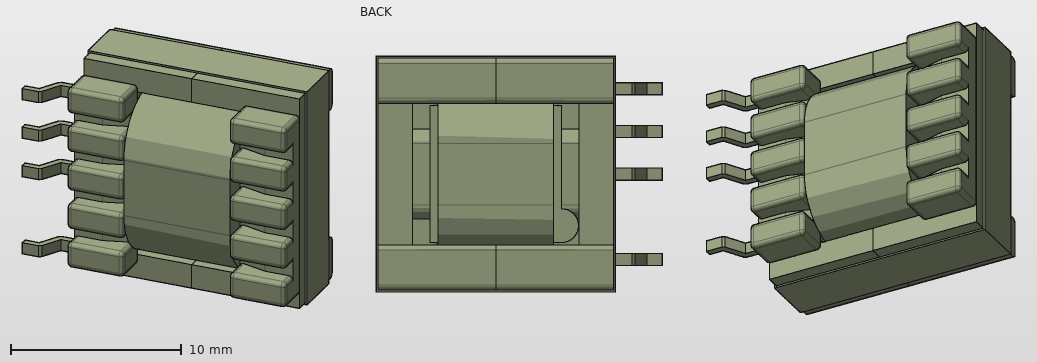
import cadquery as cq
import math


OVERALL_LENGTH = 16.75

TAPE_LENGTH = 14.0
TAPE_HEIGHT = 13.8
TAPE_THICKNESS = 0.12
TAPE_FRONT = 0.84
TAPE_BACK = 4.02
CORE_LENGTH = TAPE_LENGTH - 2 * TAPE_THICKNESS
CORE_HEIGHT = TAPE_HEIGHT - 2 * TAPE_THICKNESS
CORE_BACK = 4.77
CORE_FILLET = 0.3
WINDOW_LENGTH = 9.72
WINDOW_GAP = 0.17
YOKE_RECESS_HEIGHT = 8.27

WINDING_LENGTH = 6.77
WINDING_RADIUS = 3.3
WINDING_FLAT = 3.58
WINDING_FRONT = -2.16
WINDING_AXIS_Y = WINDING_FRONT + WINDING_RADIUS
WINDING_BACK = WINDING_AXIS_Y + WINDING_RADIUS
WINDOW_RADIUS = WINDING_RADIUS + WINDOW_GAP
WINDOW_HEIGHT = WINDING_FLAT + 2 * WINDOW_RADIUS

LEG_RADIUS = 0.84
TUBE_RADIUS = 1.09

BLOCK_INNER = WINDING_LENGTH / 2
BLOCK_OUTER = 6.98
BLOCK_WIDTH = BLOCK_OUTER - BLOCK_INNER
BLOCK_FRONT = -2.28
BLOCK_FILLET = 0.27
TOOTH_COUNT = 5
TOOTH_PITCH = 2.5
TOOTH_HEIGHT = 1.6
BLOCK_HEIGHT = (TOOTH_COUNT - 1) * TOOTH_PITCH + TOOTH_HEIGHT
SLOT_FLOOR = -1.15
SLOT_SLOPE_ANGLE = 16.0
SLOT_SLOPE_START = BLOCK_INNER + BLOCK_WIDTH / 2
SLOT_SLOPE_DROP = BLOCK_WIDTH / 2 * math.tan(math.radians(SLOT_SLOPE_ANGLE))

FLANGE_HEIGHT = 8.0
FLANGE_OUTER = 3.85
PILLAR_RADIUS = 0.99

PIN_TIP = TAPE_LENGTH / 2 - OVERALL_LENGTH
PIN_THICKNESS = 0.42
PIN_HEIGHT = 0.72
PIN_ROOT_BACK = -0.74
PIN_FOOT_FRONT = -2.46
PIN_FOOT_LENGTH = 0.9
PIN_SLANT_ANGLE = 60.0
PIN_BEND_CHAMFER = 0.12
PIN_TEETH = (0, 1, 2, 4)


def box(x_range, y_range, z_range):
    """Box between pairs of limits."""
    lows, highs = zip(x_range, y_range, z_range)
    size = [high - low for low, high in zip(lows, highs)]
    return cq.Workplane("XY").box(*size, centered=False).translate(lows)


def centred_box(length, y_range, height):
    """Box centred on X = 0 and Z = 0."""
    return box((-length / 2, length / 2), y_range, (-height / 2, height / 2))


def rounded_bar(radius, start, end):
    """Bar along X with round ends at top and bottom, centred on the winding axis."""
    return (
        cq.Workplane("YZ", origin=(start, 0, 0))
        .center(WINDING_AXIS_Y, 0)
        .slot2D(WINDING_FLAT + 2 * radius, 2 * radius, 90)
        .extrude(end - start)
    )


def make_tape():
    y_range = (TAPE_FRONT, TAPE_BACK)
    outside = centred_box(TAPE_LENGTH, y_range, TAPE_HEIGHT)
    return outside.cut(centred_box(CORE_LENGTH, y_range, CORE_HEIGHT))


def make_window():
    """Window of the core: straight in front, curved round the winding behind, cut through the back."""
    front = centred_box(WINDOW_LENGTH, (0, WINDING_AXIS_Y), WINDOW_HEIGHT)
    curved = rounded_bar(WINDOW_RADIUS, -WINDOW_LENGTH / 2, WINDOW_LENGTH / 2)
    back = centred_box(WINDOW_LENGTH, (WINDING_AXIS_Y, CORE_BACK), YOKE_RECESS_HEIGHT)
    behind_front_face = centred_box(WINDOW_LENGTH, (0, CORE_BACK), WINDOW_HEIGHT)
    return front.union(curved.intersect(behind_front_face)).union(back)


def make_core_half(side):
    """Half of the core: yoke, two side legs and the centre leg, on side -1 or +1 of X = 0."""
    outline = centred_box(CORE_LENGTH, (0, CORE_BACK), CORE_HEIGHT)
    recess = centred_box(CORE_LENGTH, (TAPE_BACK, CORE_BACK), YOKE_RECESS_HEIGHT)
    core = outline.cut(recess).faces(">Y").edges("|X").fillet(CORE_FILLET)
    core = core.cut(make_window())
    core = core.union(rounded_bar(LEG_RADIUS, -WINDOW_LENGTH / 2, WINDOW_LENGTH / 2))
    half_length = CORE_LENGTH / 2
    half_space = box(sorted((0, side * half_length)), (0, CORE_BACK), (-CORE_HEIGHT / 2, CORE_HEIGHT / 2))
    return core.intersect(half_space)


def make_winding():
    half_length = WINDING_LENGTH / 2
    wire = rounded_bar(WINDING_RADIUS, -half_length, half_length)
    return wire.cut(rounded_bar(TUBE_RADIUS, -half_length, half_length))


def tooth_heights():
    """Centre heights of the teeth, from the top one down."""
    return [((TOOTH_COUNT - 1) / 2 - index) * TOOTH_PITCH for index in range(TOOTH_COUNT)]


def make_block_base():
    """Right terminal block behind the teeth, with its front sloping back towards the winding."""
    half_height = BLOCK_HEIGHT / 2
    base = box((BLOCK_INNER, BLOCK_OUTER), (BLOCK_FRONT, 0), (-half_height, half_height))
    base = base.edges("|Y").fillet(BLOCK_FILLET)
    base = base.faces(">Y").edges(">X or >Z or <Z").fillet(BLOCK_FILLET)
    front = (
        cq.Workplane("XY", origin=(0, 0, -half_height))
        .moveTo(BLOCK_INNER, BLOCK_FRONT)
        .lineTo(BLOCK_OUTER, BLOCK_FRONT)
        .lineTo(BLOCK_OUTER, SLOT_FLOOR)
        .lineTo(SLOT_SLOPE_START, SLOT_FLOOR)
        .lineTo(BLOCK_INNER, SLOT_FLOOR + SLOT_SLOPE_DROP)
        .close()
        .extrude(BLOCK_HEIGHT)
    )
    return base.cut(front)


def make_tooth(height):
    half_height = TOOTH_HEIGHT / 2
    tooth = box(
        (BLOCK_INNER, BLOCK_OUTER),
        (BLOCK_FRONT, -BLOCK_FILLET),
        (height - half_height, height + half_height),
    )
    return tooth.edges("|Y").fillet(BLOCK_FILLET).faces("<Y").edges().fillet(BLOCK_FILLET)


def make_block():
    """Right terminal block with its teeth."""
    block = make_block_base()
    for height in tooth_heights():
        block = block.union(make_tooth(height))
    return block


def make_flange():
    """Right bobbin flange, between the terminal block and the back of the winding."""
    half_height = FLANGE_HEIGHT / 2
    return box((BLOCK_INNER, FLANGE_OUTER), (0, WINDING_BACK), (-half_height, half_height))


def make_pillar():
    """Round pillar along Y on the left flange, level with the bottom of the flange."""
    centre_z = PILLAR_RADIUS - FLANGE_HEIGHT / 2
    pillar = cq.Workplane("XZ").center(-FLANGE_OUTER, centre_z).circle(PILLAR_RADIUS)
    pillar = pillar.extrude(-WINDING_BACK)
    inner_overhang = box(
        (-BLOCK_INNER, 0), (0, WINDING_BACK), (centre_z - PILLAR_RADIUS, centre_z + PILLAR_RADIUS)
    )
    return pillar.cut(inner_overhang)


def make_pin(height):
    """Pin that leaves the left block, slants forward and ends in a flat foot."""
    root_front = PIN_ROOT_BACK - PIN_THICKNESS
    foot_back = PIN_FOOT_FRONT + PIN_THICKNESS
    slant_start = PIN_TIP + PIN_FOOT_LENGTH
    slant = math.radians(PIN_SLANT_ANGLE)
    slant_end = slant_start + (PIN_ROOT_BACK - foot_back) / math.tan(slant)
    bend_shift = PIN_THICKNESS * math.tan(slant / 2)
    outline = [
        (PIN_TIP, PIN_FOOT_FRONT),
        (slant_start + bend_shift, PIN_FOOT_FRONT),
        (slant_end + bend_shift, root_front),
        (-BLOCK_OUTER, root_front),
        (-BLOCK_OUTER, PIN_ROOT_BACK),
        (slant_end, PIN_ROOT_BACK),
        (slant_start, foot_back),
        (PIN_TIP, foot_back),
    ]
    pin = (
        cq.Workplane("XY", origin=(0, 0, height - PIN_HEIGHT / 2))
        .polyline(outline)
        .close()
        .extrude(PIN_HEIGHT)
    )
    outer_bends = [outline[1], outline[5]]
    for x, y in outer_bends:
        pin = pin.edges(cq.selectors.NearestToPointSelector((x, y, height))).chamfer(PIN_BEND_CHAMFER)
    return pin


def make_bobbin():
    """Blocks, flanges, tube and moulded-in pins."""
    side = make_block().union(make_flange())
    bobbin = side.union(side.mirror("YZ"))
    bobbin = bobbin.union(make_pillar())
    bobbin = bobbin.union(rounded_bar(TUBE_RADIUS, -FLANGE_OUTER, FLANGE_OUTER))
    bobbin = bobbin.cut(rounded_bar(LEG_RADIUS, -BLOCK_OUTER, BLOCK_OUTER))
    heights = tooth_heights()
    for index in PIN_TEETH:
        bobbin = bobbin.union(make_pin(heights[index]))
    return bobbin


tape = make_tape()
core_halves = [make_core_half(side) for side in (-1, 1)]
winding = make_winding()
bobbin = make_bobbin()

result = cq.Compound.makeCompound(
    [tape.val(), *[half.val() for half in core_halves], winding.val(), bobbin.val()]
)